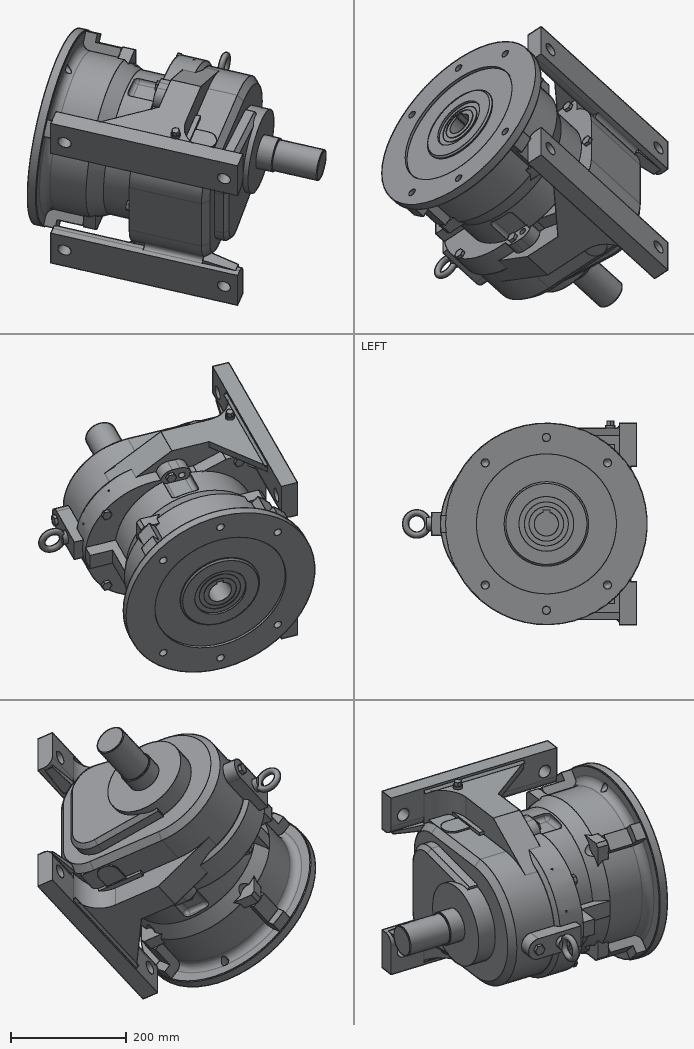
import cadquery as cq
import math


total_length = 465.5
total_width = 424.73
output_axis_y = 48.5
shaft_dia = 55.0
shaft_collar_dia = 60.0
shaft_collar_end_x = 384.5
shaft_chamfer = 1.5
output_hub_dia = 150.0
output_hub_end_x = 355.0

flange_radius = 175.0
flange_thickness = 16.5
flange_edge_fillet = 1.5
bell_radius = 142.0
bell_fillet = 14.5
bell_cone_start_x = 96.5
bell_cone_end_x = 124.0
neck_radius = 128.6
bolt_circle_radius = 150.0
flange_hole_dia = 14.0
bolt_angle = math.radians(45)
lug_start_x = 84.0
lug_end_x = 106.0
lug_half_size = 116.0
lug_corner_chamfer = 6.0
bolt_rib_radius = 157.7
bolt_rib_half_width = 15.0
bolt_pad_end_x = 37.5
bolt_drill_depth = 30.0
drill_tip_angle = math.radians(118)
wrench_relief_radius = 18.0
wrench_relief_end_x = 122.0
spigot_radius = 121.5
spigot_depth = 5.0
seal_boss_radius = 73.3
seal_boss_chamfer = 3.0
seal_bore_dia = 95.0
seal_bore_depth = 4.0
bearing_ring_dia = 76.3
bearing_ring_height = 1.0
input_sleeve_dia = 60.0
input_sleeve_height = 2.0
input_bore_dia = 42.0
input_bore_depth = 80.0
key_width = 12.0
key_top_z = 24.0

joint_x = 178.0
ring_end_x = 225.0
ring_radius = 127.5
ring_chamfer = 7.0
housing_axis_y = 56.0
upper_radius = 119.5
housing_end_x = 321.0
housing_chamfer = 11.5
housing_front_y = -151.0
front_flat_half = 53.0
corner_radius = upper_radius - front_flat_half
side_pad_bottom_y = -111.0
plate_pin_hole_dia = 2.7
plate_pin_hole_depth = 8.0
plate_pin_x = 208.0
plate_pin_angles = (math.radians(19.5), math.radians(55))
end_cover_x = 345.5
end_cover_top_y = 66.0
end_cover_bottom_y = -113.5
end_cover_top_half = 77.0
end_cover_flare = math.radians(8.5)
end_cover_corner = 48.0
end_cover_chamfer = 8.0

foot_start_x = 37.0
foot_length = 340.0
foot_end_x = foot_start_x + foot_length
shaft_height = 205.0
foot_base_y = output_axis_y - shaft_height
foot_thickness = 30.0
foot_top_y = foot_base_y + foot_thickness
foot_inner_z = 100.0
foot_outer_z = 175.0
foot_edge_fillet = 18.0
foot_hole_dia = 24.0
foot_hole_pitch = 290.0
foot_hole_z = 135.0
bracket_start_x = 202.0
bracket_end_x = 256.5
bracket_outer_z = 166.0
bracket_shoulder_y = 14.5
gusset_thickness = 12.5
gusset_foot_x = 105.0
gusset_knee_y = -54.5
web_arc_radius = 53.0

top_rib_half = 15.0
top_pad_half = 20.0
top_rib_start_x = 97.0
top_rib_step_x = 155.0
top_pad_start_x = 192.5
top_pad_end_x = 300.0
top_pad_y = 199.0
eye_x = 232.0
eye_top_y = total_width - flange_radius
eye_wire_radius = 5.5
eye_ring_radius = 19.3
eye_collar_dia = 24.0
eye_collar_top_y = 208.4
vent_x = 280.0
vent_head_width = 17.0
vent_top_y = 205.0

bolt_head_width = 16.0
bolt_head_height = 6.0
joint_bolts = [(145.6, 81.0), (145.6, -81.0), (26.0, 130.0), (26.0, -130.0),
               (-100.0, 128.0), (-100.0, -128.0), (-144.0, 0.0)]
ear_center_y = 15.5
ear_half_width = 29.0
ear_top_z = 144.0
ear_corner_radius = 22.0
ear_hole_dia = 12.0
ear_hole_y = 5.0
ear_hole_z = 127.0
recess_start_x = 129.0
recess_half_width = 25.0
recess_floor_z = 116.0
recess_fillet = 8.0
ground_bolt_x = 250.0
ground_bolt_y = -111.0
ground_bolt_top_z = 179.0
ground_washer_dia = 16.0
ground_washer_height = 5.0
ground_bolt_width = 12.0


def box(x0, x1, y0, y1, z0, z1):
    return cq.Workplane("XY").box(x1 - x0, y1 - y0, z1 - z0, centered=False).translate((x0, y0, z0))


def x_cylinder(radius, x0, x1, y=0.0, z=0.0):
    return cq.Workplane("YZ", origin=(x0, y, z)).circle(radius).extrude(x1 - x0)


def both_sides(shape):
    return shape.union(shape.mirror("XY"))


def hexagon_diameter(width_across_flats):
    return width_across_flats / math.cos(math.pi / 6)


def make_bolt_rib(angle):
    """Radial rib along a flange bolt, raised almost to the flange rim next to the flange."""
    start_x = flange_thickness / 2
    rib = box(start_x, lug_start_x, 0, bolt_rib_radius, -bolt_rib_half_width, bolt_rib_half_width)
    pad_radius = flange_radius - flange_edge_fillet
    pad = box(start_x, bolt_pad_end_x, 0, flange_radius, -bolt_rib_half_width, bolt_rib_half_width)
    pad = pad.intersect(x_cylinder(pad_radius, 0, bolt_pad_end_x))
    return rib.union(pad).rotate((0, 0, 0), (1, 0, 0), math.degrees(angle))


def make_blind_drill(y, z):
    radius = flange_hole_dia / 2
    tip_x = bolt_drill_depth + radius / math.tan(drill_tip_angle / 2)
    return (
        cq.Workplane("XY", origin=(0, y, z))
        .polyline([(0, 0), (0, radius), (bolt_drill_depth, radius), (tip_x, 0)])
        .close()
        .revolve(360, (0, 0, 0), (1, 0, 0))
    )


def make_bell():
    fillet_end_x = flange_thickness + bell_fillet
    fillet_offset = bell_fillet * (1 - math.sqrt(0.5))
    profile = (
        cq.Workplane("XY")
        .moveTo(0, 0)
        .lineTo(0, flange_radius)
        .lineTo(flange_thickness - flange_edge_fillet, flange_radius)
        .lineTo(flange_thickness, flange_radius - flange_edge_fillet)
        .lineTo(flange_thickness, bell_radius + bell_fillet)
        .threePointArc((flange_thickness + fillet_offset, bell_radius + fillet_offset),
                       (fillet_end_x, bell_radius))
        .lineTo(bell_cone_start_x, bell_radius)
        .lineTo(bell_cone_end_x, neck_radius)
        .lineTo(joint_x, neck_radius)
        .lineTo(joint_x, 0)
        .close()
    )
    bell = profile.revolve(360, (0, 0, 0), (1, 0, 0))
    lug_span = 2 * lug_half_size
    lugs = (
        cq.Workplane("YZ", origin=(lug_start_x, 0, 0))
        .rect(lug_span, lug_span)
        .extrude(lug_end_x - lug_start_x)
    )
    lugs = lugs.edges("|X").chamfer(lug_corner_chamfer)
    drills = cq.Workplane("XY")
    for quarter in range(4):
        angle = bolt_angle + quarter * math.pi / 2
        lugs = lugs.union(make_bolt_rib(angle))
        y = bolt_circle_radius * math.cos(angle)
        z = bolt_circle_radius * math.sin(angle)
        drills = drills.add(x_cylinder(wrench_relief_radius, lug_end_x, wrench_relief_end_x, y, z))
        drills = drills.add(make_blind_drill(y, z))
    bell = bell.union(lugs)
    for drill in drills.vals():
        bell = bell.cut(cq.Workplane(obj=drill))
    for z in (-bolt_circle_radius, bolt_circle_radius):
        bell = bell.cut(x_cylinder(flange_hole_dia / 2, 0, lug_start_x, 0, z))
    return bell


def cut_input_face(body):
    boss = x_cylinder(seal_boss_radius, 0, spigot_depth).faces("<X").edges().chamfer(seal_boss_chamfer)
    body = body.cut(x_cylinder(spigot_radius, 0, spigot_depth).cut(boss))
    recess = x_cylinder(seal_bore_dia / 2, 0, seal_bore_depth)
    ring_face_x = seal_bore_depth - bearing_ring_height
    sleeve_face_x = seal_bore_depth - input_sleeve_height
    recess = recess.cut(x_cylinder(bearing_ring_dia / 2, ring_face_x, seal_bore_depth))
    recess = recess.cut(x_cylinder(input_sleeve_dia / 2, sleeve_face_x, seal_bore_depth))
    body = body.cut(recess)
    body = body.cut(x_cylinder(input_bore_dia / 2, 0, input_bore_depth))
    return body.cut(box(0, input_bore_depth, -key_width / 2, key_width / 2, 0, key_top_z))


def make_plate_pin_hole(angle):
    """Radial pin hole for the name plate, on the +Z side of the ring."""
    direction = cq.Vector(0, math.cos(angle), math.sin(angle))
    bottom = cq.Vector(plate_pin_x, housing_axis_y, 0) + direction * (ring_radius - plate_pin_hole_depth)
    hole = cq.Solid.makeCylinder(plate_pin_hole_dia / 2, 2 * plate_pin_hole_depth, bottom, direction)
    return cq.Workplane(obj=hole)


def make_housing():
    lower = box(joint_x, housing_end_x, housing_front_y, housing_axis_y, -upper_radius, upper_radius)
    lower = lower.edges("|X and <Y").fillet(corner_radius)
    housing = lower.union(x_cylinder(upper_radius, joint_x, housing_end_x, housing_axis_y))
    housing = housing.faces(">X").edges().chamfer(housing_chamfer)
    ring = x_cylinder(ring_radius, joint_x, ring_end_x + ring_chamfer, housing_axis_y)
    housing = housing.union(ring.faces(">X").edges().chamfer(ring_chamfer))
    for angle in plate_pin_angles:
        housing = housing.cut(make_plate_pin_hole(angle))
    pads = box(bracket_end_x, housing_end_x - housing_chamfer, side_pad_bottom_y, housing_axis_y,
               0, upper_radius)
    housing = housing.union(both_sides(pads))
    cover_height = end_cover_top_y - end_cover_bottom_y
    bottom_half = end_cover_top_half + cover_height * math.tan(end_cover_flare)
    cover_start_x = housing_end_x - housing_chamfer
    cover = (
        cq.Workplane("YZ", origin=(cover_start_x, 0, 0))
        .polyline([(end_cover_top_y, -end_cover_top_half), (end_cover_top_y, end_cover_top_half),
                   (end_cover_bottom_y, bottom_half), (end_cover_bottom_y, -bottom_half)])
        .close()
        .extrude(end_cover_x - cover_start_x)
    )
    cover = cover.edges("|X and <Y").fillet(end_cover_corner)
    cover = cover.faces(">X").edges("not >Y").chamfer(end_cover_chamfer)
    return housing.union(cover)


def make_output_shaft():
    hub = x_cylinder(output_hub_dia / 2, housing_end_x, output_hub_end_x, output_axis_y)
    collar = x_cylinder(shaft_collar_dia / 2, output_hub_end_x, shaft_collar_end_x, output_axis_y)
    shaft = x_cylinder(shaft_dia / 2, shaft_collar_end_x, total_length, output_axis_y)
    collar = collar.faces(">X").edges().chamfer(shaft_chamfer)
    shaft = shaft.faces(">X").edges().chamfer(shaft_chamfer)
    return hub.union(collar).union(shaft)


def make_foot():
    """Foot plate on the +Z side."""
    foot = box(foot_start_x, foot_end_x, foot_base_y, foot_top_y, foot_inner_z, foot_outer_z)
    foot = foot.edges("|X and >Y and <Z").fillet(foot_edge_fillet)
    middle_x = (foot_start_x + foot_end_x) / 2
    for x in (middle_x - foot_hole_pitch / 2, middle_x + foot_hole_pitch / 2):
        hole = (
            cq.Workplane("XZ", origin=(x, foot_top_y, foot_hole_z))
            .circle(foot_hole_dia / 2)
            .extrude(foot_thickness)
        )
        foot = foot.cut(hole)
    return foot


def make_bracket():
    """Bracket that carries the housing on the +Z foot."""
    dy = bracket_shoulder_y - housing_axis_y
    distance = math.hypot(dy, bracket_outer_z)
    tangent_angle = math.atan2(bracket_outer_z, dy) - math.acos(upper_radius / distance)
    tangent_y = housing_axis_y + upper_radius * math.cos(tangent_angle)
    tangent_z = upper_radius * math.sin(tangent_angle)
    block = (
        cq.Workplane("YZ", origin=(bracket_start_x, 0, 0))
        .polyline([(housing_axis_y, 0), (tangent_y, tangent_z), (bracket_shoulder_y, bracket_outer_z),
                   (foot_top_y, bracket_outer_z), (foot_top_y, foot_inner_z), (0, foot_inner_z)])
        .close()
        .extrude(bracket_end_x - bracket_start_x)
    )
    arc_center_x = bracket_end_x + web_arc_radius
    arc_center_y = foot_top_y + web_arc_radius
    arc_reach = web_arc_radius * math.sqrt(0.5)
    web = (
        cq.Workplane("XY", origin=(0, 0, foot_inner_z))
        .moveTo(bracket_start_x, foot_top_y)
        .lineTo(bracket_start_x, arc_center_y)
        .lineTo(bracket_end_x, arc_center_y)
        .threePointArc((arc_center_x - arc_reach, arc_center_y - arc_reach), (arc_center_x, foot_top_y))
        .close()
        .extrude(bracket_outer_z - foot_inner_z)
    )
    gusset = (
        cq.Workplane("XY", origin=(0, 0, bracket_outer_z - gusset_thickness))
        .polyline([(gusset_foot_x, foot_top_y), (bracket_start_x, gusset_knee_y),
                   (bracket_end_x, gusset_knee_y), (bracket_end_x, foot_top_y)])
        .close()
        .extrude(gusset_thickness)
    )
    return block.union(web).union(gusset)


def make_corner_filling():
    """Concave filling, tangent to the rounded housing corner and to the inner face of the +Z foot."""
    radius = 7.4
    corner_y = housing_front_y + corner_radius
    center_z = foot_inner_z - radius
    reach_z = center_z - front_flat_half
    reach_y = math.sqrt((corner_radius + radius) ** 2 - reach_z ** 2)
    center_y = corner_y - reach_y
    share = corner_radius / (corner_radius + radius)
    touch_y = corner_y - share * reach_y
    touch_z = front_flat_half + share * reach_z
    middle_angle = (math.atan2(touch_z - center_z, touch_y - center_y) + math.pi / 2) / 2
    middle = (center_y + radius * math.cos(middle_angle), center_z + radius * math.sin(middle_angle))
    return (
        cq.Workplane("YZ", origin=(bracket_start_x, 0, 0))
        .moveTo(touch_y, touch_z)
        .threePointArc(middle, (center_y, foot_inner_z))
        .lineTo(center_y, foot_inner_z + foot_edge_fillet)
        .lineTo(foot_top_y, foot_inner_z + foot_edge_fillet)
        .lineTo(foot_top_y, touch_z)
        .close()
        .extrude(bracket_end_x + web_arc_radius - bracket_start_x)
    )


def make_foot_fillings():
    """Small sloped fillings between the +Z foot, its bracket and the housing."""
    weld_height = 4.5
    outer = (
        cq.Workplane("YZ", origin=(gusset_foot_x, 0, 0))
        .polyline([(foot_top_y, bracket_outer_z), (foot_top_y + weld_height, bracket_outer_z),
                   (foot_top_y, bracket_outer_z + weld_height)])
        .close()
        .extrude(bracket_end_x + web_arc_radius - gusset_foot_x)
    )
    inner = make_corner_filling()
    rib_start_x = housing_end_x - housing_chamfer
    rib_depth = 20.0
    rib_inner_z = 93.0
    rib_end_x = 370.0
    rib_end_drop = 4.0
    rib_outer_z = 105.0
    rib = (
        cq.Workplane("XY", origin=(0, 0, rib_inner_z))
        .polyline([(rib_start_x, foot_top_y - rib_depth), (rib_start_x, foot_top_y + weld_height),
                   (rib_end_x, foot_top_y - rib_end_drop), (rib_end_x, foot_top_y - rib_depth)])
        .close()
        .extrude(rib_outer_z - rib_inner_z)
    )
    rib_slope = (
        cq.Workplane("XZ", origin=(0, foot_top_y + weld_height, 0))
        .polyline([(rib_start_x, rib_inner_z), (rib_end_x, foot_inner_z),
                   (rib_end_x, rib_outer_z), (rib_start_x, rib_outer_z)])
        .close()
        .extrude(rib_depth + weld_height)
    )
    return outer.union(inner).union(rib.intersect(rib_slope))


def make_side_bosses():
    """Stiffener and rounded boss on the +Z side of the housing."""
    stiffener_width = 9.0
    stiffener_top_y = -16.0
    stiffener_height = 6.0
    boss_y = -66.0
    boss_radius = 20.0
    boss_height = 3.0
    boss_center_x = housing_end_x - housing_chamfer - boss_radius
    stiffener = box(bracket_end_x, bracket_end_x + stiffener_width, side_pad_bottom_y, stiffener_top_y,
                    upper_radius, upper_radius + stiffener_height)
    boss = box(bracket_end_x, boss_center_x, boss_y - boss_radius, boss_y + boss_radius,
               upper_radius, upper_radius + boss_height)
    tip = (
        cq.Workplane("XY", origin=(boss_center_x, boss_y, upper_radius))
        .circle(boss_radius)
        .extrude(boss_height)
    )
    return stiffener.union(boss).union(tip)


def make_joint_ear():
    """Bolting ear on the +Z side of the joint flange."""
    ear = box(joint_x, bracket_start_x, ear_center_y - ear_half_width, ear_center_y + ear_half_width,
              0, ear_top_z)
    ear = ear.edges("|X and >Z").fillet(ear_corner_radius)
    return ear.cut(x_cylinder(ear_hole_dia / 2, joint_x, bracket_start_x, ear_hole_y, ear_hole_z))


def make_lower_ear():
    """Joint flange wall that widens towards the +Z foot and carries the lower bolt."""
    inner_z = 100.0
    outer_z = 138.0
    slope_top_y = -25.0
    slope_bottom_y = -77.0
    bottom_y = -118.0
    return (
        cq.Workplane("YZ", origin=(joint_x, 0, 0))
        .polyline([(slope_top_y, inner_z), (slope_top_y, upper_radius), (slope_bottom_y, outer_z),
                   (bottom_y, outer_z), (bottom_y, inner_z)])
        .close()
        .extrude(bracket_start_x - joint_x)
    )


def make_joint_recess():
    """Space for the bolt head in front of the +Z ear."""
    recess = box(recess_start_x, joint_x, ear_center_y - recess_half_width, ear_center_y + recess_half_width,
                 recess_floor_z, ear_top_z)
    return recess.edges("<Z or (|Z and <X)").edges("not >X").fillet(recess_fillet)


def make_top_rib_and_pad():
    ring_top_y = housing_axis_y + ring_radius
    rib = box(top_rib_start_x, joint_x, 0, bell_radius, -top_rib_half, top_rib_half)
    step = box(top_rib_step_x, joint_x, 0, ring_top_y, -top_rib_half, top_rib_half)
    pad_round_x = top_pad_end_x - top_pad_half
    pad = box(top_pad_start_x, pad_round_x, housing_axis_y, top_pad_y, -top_pad_half, top_pad_half)
    pad_round = (
        cq.Workplane("XZ", origin=(pad_round_x, top_pad_y, 0))
        .circle(top_pad_half)
        .extrude(top_pad_y - housing_axis_y)
    )
    return rib.union(step).union(pad).union(pad_round)


def make_lifting_eye():
    collar = (
        cq.Workplane("XZ", origin=(eye_x, eye_collar_top_y, 0))
        .circle(eye_collar_dia / 2)
        .extrude(eye_collar_top_y - top_pad_y)
    )
    ring_center_y = eye_top_y - eye_wire_radius - eye_ring_radius
    ring = cq.Workplane(obj=cq.Solid.makeTorus(
        eye_ring_radius, eye_wire_radius, cq.Vector(eye_x, ring_center_y, 0), cq.Vector(1, 0, 0)))
    return collar.union(ring)


def make_vent_plug():
    return (
        cq.Workplane("XZ", origin=(vent_x, vent_top_y, 0))
        .polygon(6, hexagon_diameter(vent_head_width))
        .extrude(vent_top_y - top_pad_y)
    )


def make_joint_bolts():
    return (
        cq.Workplane("YZ", origin=(joint_x - bolt_head_height, 0, 0))
        .pushPoints(joint_bolts)
        .polygon(6, hexagon_diameter(bolt_head_width))
        .extrude(bolt_head_height)
    )


def make_ground_bolt():
    center = (ground_bolt_x, ground_bolt_y, bracket_outer_z)
    washer = cq.Workplane("XY", origin=center).circle(ground_washer_dia / 2).extrude(ground_washer_height)
    head = (
        cq.Workplane("XY", origin=center)
        .polygon(6, hexagon_diameter(ground_bolt_width))
        .extrude(ground_bolt_top_z - bracket_outer_z)
    )
    return washer.union(head)


body = make_bell().cut(both_sides(make_joint_recess()))
body = cut_input_face(body)
body = body.union(make_housing()).union(make_output_shaft())
for side_feature in (make_foot, make_bracket, make_foot_fillings, make_side_bosses,
                     make_joint_ear, make_lower_ear):
    body = body.union(both_sides(side_feature()))
for feature in (make_top_rib_and_pad, make_lifting_eye, make_vent_plug, make_joint_bolts, make_ground_bolt):
    body = body.union(feature())

result = body